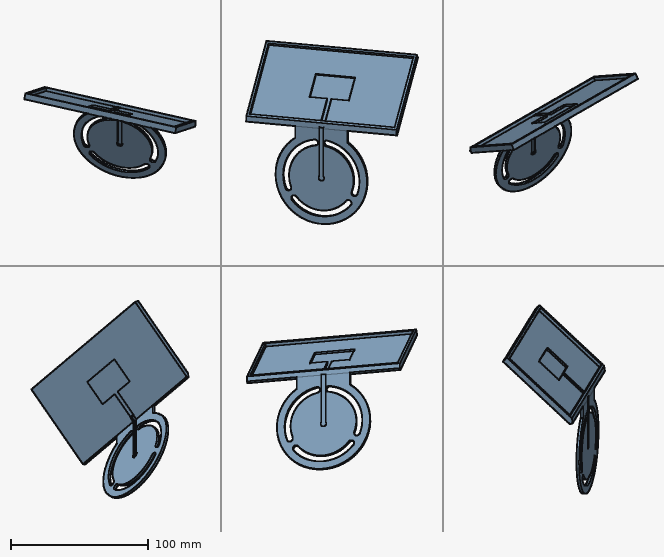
import cadquery as cq
import math

plate_radius = 35.0
plate_thickness = 2.0
neck_width = 40.0
bend_height = 36.98

slot_count = 3
slot_radius = 26.95
slot_width = 4.5
slot_span = 100.8
first_slot_angle = 29.7

tray_width = 115.0
tray_length = 64.95
tray_thickness = 4.5
tilt = 42.0
tray_reach = 49.87
wall = 2.0
tray_floor = 2.0
recess_floor = 0.5
recess_width = 30.0
recess_length = 20.0

channel_width = 3.2
channel_depth = 1.5
channel_end_diameter = 4.2

tilt_sin = math.sin(math.radians(tilt))
tilt_cos = math.cos(math.radians(tilt))
tray_end = tray_reach / tilt_cos
tray_start = tray_end - tray_length
pocket_start = tray_start + wall
pocket_end = tray_end - wall
recess_start = (pocket_start + pocket_end - recess_length) / 2

mitre_rise = plate_thickness * math.tan(math.radians((90 - tilt) / 2))


def slope_point(along, above):
    """(Y, Z) of a point given by its distance up the slope and above the tray's underside."""
    return (
        above * tilt_sin - along * tilt_cos,
        bend_height + along * tilt_sin + above * tilt_cos,
    )


def side_profile(points, width):
    """Extrude a (Y, Z) outline along X, centred on X = 0."""
    return cq.Workplane("YZ").polyline(points).close().extrude(width / 2, both=True)


def tray_block(width, start, end, bottom, top):
    """Block square to the tray, from start to end up the slope."""
    corners = [
        slope_point(start, bottom),
        slope_point(end, bottom),
        slope_point(end, top),
        slope_point(start, top),
    ]
    return side_profile(corners, width)


def plate_disc(radius, depth):
    """Disc around the plate centre, from the front face back to the given depth."""
    return cq.Workplane("XZ").circle(radius).extrude(-depth)


def polar(radius, angle):
    """(X, Z) of a point around the plate centre."""
    return (
        radius * math.cos(math.radians(angle)),
        radius * math.sin(math.radians(angle)),
    )


def curved_slot(middle_angle):
    """Cutter for one round-ended slot that follows the plate's rim."""
    start = middle_angle - slot_span / 2
    end = middle_angle + slot_span / 2
    inner = slot_radius - slot_width / 2
    outer = slot_radius + slot_width / 2
    cap_angle = math.degrees(slot_width / 2 / slot_radius)
    return (
        cq.Workplane("XZ")
        .moveTo(*polar(outer, start))
        .threePointArc(polar(outer, middle_angle), polar(outer, end))
        .threePointArc(polar(slot_radius, end + cap_angle), polar(inner, end))
        .threePointArc(polar(inner, middle_angle), polar(inner, start))
        .threePointArc(polar(slot_radius, start - cap_angle), polar(outer, start))
        .close()
        .extrude(-plate_thickness)
    )


def make_plate():
    neck_outline = [
        (0, 0),
        (plate_thickness, 0),
        (plate_thickness, bend_height + mitre_rise),
        (0, bend_height),
    ]
    plate = plate_disc(plate_radius, plate_thickness).union(side_profile(neck_outline, neck_width))
    for index in range(slot_count):
        plate = plate.cut(curved_slot(first_slot_angle + index * 360 / slot_count))
    return plate


def make_tray():
    outline = [
        (0, bend_height),
        slope_point(tray_end, 0),
        slope_point(tray_end, tray_thickness),
        slope_point(tray_start, tray_thickness),
        (plate_thickness, bend_height + mitre_rise),
    ]
    tray = side_profile(outline, tray_width)
    pocket = tray_block(tray_width - 2 * wall, pocket_start, pocket_end, tray_floor, tray_thickness)
    recess = tray_block(recess_width, recess_start, recess_start + recess_length, recess_floor, tray_floor)
    stem = tray_block(channel_width, pocket_start, recess_start, recess_floor, tray_floor)
    return tray.cut(pocket).cut(recess).cut(stem)


def make_channel():
    """Cutter for the groove in the plate and its passage under the tray's lower wall."""
    roof_start = (tray_floor * tilt_sin - channel_depth) / tilt_cos
    passage_outline = [
        (0, 0),
        (channel_depth, 0),
        slope_point(roof_start, tray_floor),
        slope_point(pocket_start, tray_floor),
        slope_point(pocket_start, 0),
        (0, bend_height),
    ]
    passage = side_profile(passage_outline, channel_width)
    return passage.union(plate_disc(channel_end_diameter / 2, channel_depth))


result = make_plate().union(make_tray()).cut(make_channel())